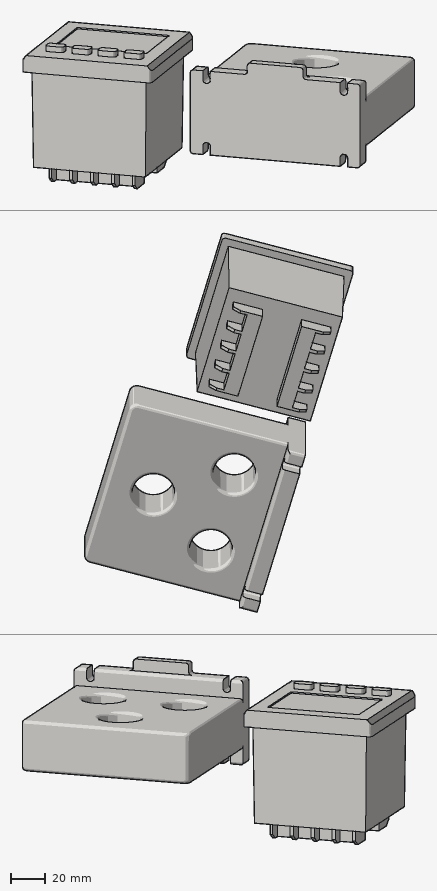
import cadquery as cq


bezel_side = 79.4
bezel_bottom = 68.8
bezel_top = 79.0
bezel_chamfer_width = 2.5
bezel_chamfer_height = 3.1
bezel_corner_radius = 2.0
meter_center = bezel_side / 2

case_top_side = 70.2
case_bottom_side = 68.8
case_bottom = 10.2

display_width = 56.5
display_height = 42.2
display_center_y = 47.5
display_corner_radius = 1.0
display_depth = 0.8

button_count = 4
button_pitch = 16.0
button_width = 11.0
button_depth = 6.9
button_height = 3.3
button_corner_radius = 1.9
button_center_y = 15.8

terminal_width = 52.8
terminal_depth = 17.7
terminal_row_pitch = 41.4
terminal_chamfer_depth = 4.4
terminal_chamfer_height = 3.1
terminals_per_row = 4
terminal_pitch = 12.9
terminal_bay_width = 10.8
terminal_bay_depth = 8.7

transformer_left = 103.3
transformer_right = 207.8
transformer_center_x = (transformer_left + transformer_right) / 2
edge_radius = 2.0

plate_bottom = 28.3
plate_top = bezel_top
plate_center_z = (plate_bottom + plate_top) / 2
plate_thickness = 10.5

tab_width = 34.3
tab_top = 86.0
tab_thickness = 6.2
tab_radius = 1.9

slot_width = 4.5
slot_length = 7.5
slot_spacing = 84.4

core_rear = 105.5
core_bottom = 38.0
core_top = 68.4
core_corner_radius = 4.5

bore_radius = 12.5
bore_spacing = 50.0
bore_front_y = 35.5
bore_rear_y = 77.5


def block(x_min, x_max, y_min, y_max, z_min, z_max):
    """Box given by its limits along each axis."""
    return cq.Workplane("XY").box(
        x_max - x_min, y_max - y_min, z_max - z_min, centered=False
    ).translate((x_min, y_min, z_min))


def make_bezel():
    """Square frame with the left and right top edges bevelled and upright corners rounded."""
    shoulder = bezel_top - bezel_chamfer_height
    return (
        cq.Workplane("XZ")
        .polyline([
            (0, bezel_bottom),
            (bezel_side, bezel_bottom),
            (bezel_side, shoulder),
            (bezel_side - bezel_chamfer_width, bezel_top),
            (bezel_chamfer_width, bezel_top),
            (0, shoulder),
        ])
        .close()
        .extrude(-bezel_side)
        .edges("|Z")
        .fillet(bezel_corner_radius)
    )


def make_case():
    """Square case behind the bezel, tapering slightly downward."""
    return (
        cq.Workplane("XY", origin=(meter_center, meter_center, case_bottom))
        .rect(case_bottom_side, case_bottom_side)
        .workplane(offset=bezel_bottom - case_bottom)
        .rect(case_top_side, case_top_side)
        .loft()
    )


def make_display_recess():
    """Shallow rounded window cut into the bezel's top face."""
    return (
        cq.Workplane("XY", origin=(meter_center, display_center_y, bezel_top - display_depth))
        .rect(display_width, display_height)
        .extrude(display_depth)
        .edges("|Z")
        .fillet(display_corner_radius)
    )


def make_buttons():
    """Row of rounded push buttons standing on the bezel."""
    return (
        cq.Workplane("XY", origin=(meter_center, button_center_y, bezel_top))
        .rarray(button_pitch, 2, button_count, 1)
        .rect(button_width, button_depth)
        .extrude(button_height)
        .edges("|Z")
        .fillet(button_corner_radius)
    )


def make_front_terminals():
    """Front terminal block: bevelled outer lower edge, with open bays between ribs."""
    front = meter_center - terminal_row_pitch / 2 - terminal_depth / 2
    rear = front + terminal_depth
    left = meter_center - terminal_width / 2
    terminals = (
        cq.Workplane("YZ", origin=(left, 0, 0))
        .polyline([
            (front, case_bottom),
            (front, terminal_chamfer_height),
            (front + terminal_chamfer_depth, 0),
            (rear, 0),
            (rear, case_bottom),
        ])
        .close()
        .extrude(terminal_width)
    )
    bays = (
        cq.Workplane("XY", origin=(meter_center, front + terminal_bay_depth / 2, 0))
        .rarray(terminal_pitch, 2, terminals_per_row, 1)
        .rect(terminal_bay_width, terminal_bay_depth)
        .extrude(case_bottom)
    )
    return terminals.cut(bays)


def make_meter():
    front_terminals = make_front_terminals()
    rear_terminals = front_terminals.mirror("XZ", (0, meter_center, 0))
    return (
        make_bezel()
        .cut(make_display_recess())
        .union(make_buttons())
        .union(make_case())
        .union(front_terminals)
        .union(rear_terminals)
    )


def make_plate():
    """Mounting plate with rounded corners and rounded rear top and bottom edges."""
    rounded_corners = (
        block(transformer_left, transformer_right, 0, plate_thickness, plate_bottom, plate_top)
        .edges("|Y")
        .fillet(edge_radius)
    )
    rounded_rear = (
        block(transformer_left, transformer_right, 0, plate_thickness, plate_bottom, plate_top)
        .edges("|X and >Y")
        .fillet(edge_radius)
    )
    return rounded_corners.intersect(rounded_rear)


def make_tab():
    """Top tab with rounded upper corners and concave blends down to the plate."""
    half_width = tab_width / 2
    foot = half_width + tab_radius
    shoulder = half_width - tab_radius
    blend_top = plate_top + tab_radius
    round_start = tab_top - tab_radius
    return (
        cq.Workplane("XZ", origin=(transformer_center_x, 0, 0))
        .moveTo(-foot, plate_center_z)
        .lineTo(-foot, plate_top)
        .radiusArc((-half_width, blend_top), -tab_radius)
        .lineTo(-half_width, round_start)
        .radiusArc((-shoulder, tab_top), tab_radius)
        .lineTo(shoulder, tab_top)
        .radiusArc((half_width, round_start), tab_radius)
        .lineTo(half_width, blend_top)
        .radiusArc((foot, plate_top), -tab_radius)
        .lineTo(foot, plate_center_z)
        .close()
        .extrude(-tab_thickness)
    )


def make_slots():
    """Round-ended mounting slots, open at the plate's top and bottom edges."""
    return (
        cq.Workplane("XZ", origin=(transformer_center_x, 0, plate_center_z))
        .rarray(slot_spacing, plate_top - plate_bottom, 2, 2)
        .slot2D(2 * slot_length, slot_width, 90)
        .extrude(-plate_thickness)
    )


def make_core():
    """Core housing behind the plate, with rounded rear corners and top and bottom edges."""
    return (
        block(transformer_left, transformer_right, 0, core_rear, core_bottom, core_top)
        .edges("|Z and >Y")
        .fillet(core_corner_radius)
        .faces("<Z or >Z")
        .edges("not <Y")
        .fillet(edge_radius)
    )


def make_bore(x, y):
    """Cable passage flaring out through a quarter round at each mouth."""
    mouth_radius = bore_radius + edge_radius
    return (
        cq.Workplane("XZ", origin=(x, y, 0))
        .moveTo(0, core_bottom)
        .lineTo(mouth_radius, core_bottom)
        .radiusArc((bore_radius, core_bottom + edge_radius), edge_radius)
        .lineTo(bore_radius, core_top - edge_radius)
        .radiusArc((mouth_radius, core_top), edge_radius)
        .lineTo(0, core_top)
        .close()
        .revolve(360, (0, 0, 0), (0, 1, 0))
    )


def make_transformer():
    transformer = make_plate().cut(make_slots()).union(make_tab()).union(make_core())
    bore_centers = [
        (transformer_center_x - bore_spacing / 2, bore_front_y),
        (transformer_center_x + bore_spacing / 2, bore_front_y),
        (transformer_center_x, bore_rear_y),
    ]
    for x, y in bore_centers:
        transformer = transformer.cut(make_bore(x, y))
    return transformer


meter = make_meter()
transformer = make_transformer()

result = cq.Compound.makeCompound([meter.solids().val(), transformer.solids().val()])